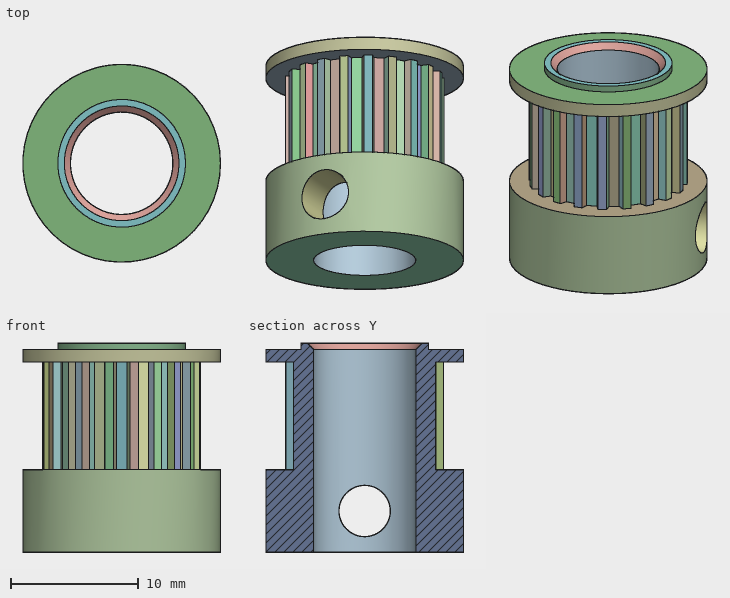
import cadquery as cq
import math

total_height = 16.4
hub_height = 6.5
flange_thickness = 1.0
collar_height = 0.5
belt_height = total_height - hub_height - flange_thickness - collar_height

flange_diameter = 15.5
collar_diameter = 10.0
bore_diameter = 8.0
bore_chamfer = 0.5

tooth_count = 20
tip_radius = 6.22
groove_floor_distance = 5.58
groove_mouth_width = 1.28
groove_floor_width = 0.82

screw_hole_diameter = 4.0
screw_hole_height = hub_height / 2

flange_base = hub_height + belt_height
flange_top = flange_base + flange_thickness
tooth_pitch_angle = 360 / tooth_count


def disc(diameter, base, height):
    """Solid cylinder on the Z axis, standing on the given level."""
    return cq.Workplane("XY").workplane(offset=base).circle(diameter / 2).extrude(height)


def groove_outline():
    """Corners of every groove and tooth tip, going once around the axis."""
    mouth_distance = math.sqrt(tip_radius**2 - (groove_mouth_width / 2) ** 2)
    groove_corners = [
        (mouth_distance, -groove_mouth_width / 2),
        (groove_floor_distance, -groove_floor_width / 2),
        (groove_floor_distance, groove_floor_width / 2),
        (mouth_distance, groove_mouth_width / 2),
    ]
    outline = []
    for index in range(tooth_count):
        angle = math.radians(index * tooth_pitch_angle)
        for radial, across in groove_corners:
            x = radial * math.cos(angle) - across * math.sin(angle)
            y = radial * math.sin(angle) + across * math.cos(angle)
            outline.append((x, y))
    return outline


def toothed_belt_section():
    plane = cq.Workplane("XY").workplane(offset=hub_height)
    return plane.polyline(groove_outline()).close().extrude(belt_height)


def bore():
    """Through bore with a chamfered upper mouth."""
    bore_radius = bore_diameter / 2
    mouth_radius = bore_radius + bore_chamfer
    profile = [
        (0, 0),
        (bore_radius, 0),
        (bore_radius, total_height - bore_chamfer),
        (mouth_radius, total_height),
        (0, total_height),
    ]
    return cq.Workplane("XZ").polyline(profile).close().revolve(360, (0, 0, 0), (0, 1, 0))


def set_screw_hole():
    """Radial hole running from the axis out through the +Y side of the hub."""
    plane = cq.Workplane("XZ", origin=(0, 0, screw_hole_height))
    return plane.circle(screw_hole_diameter / 2).extrude(-flange_diameter)


hub = disc(flange_diameter, 0, hub_height)
flange = disc(flange_diameter, flange_base, flange_thickness)
collar = disc(collar_diameter, flange_top, collar_height)

pulley = hub.union(toothed_belt_section()).union(flange).union(collar)
result = pulley.cut(bore()).cut(set_screw_hole())